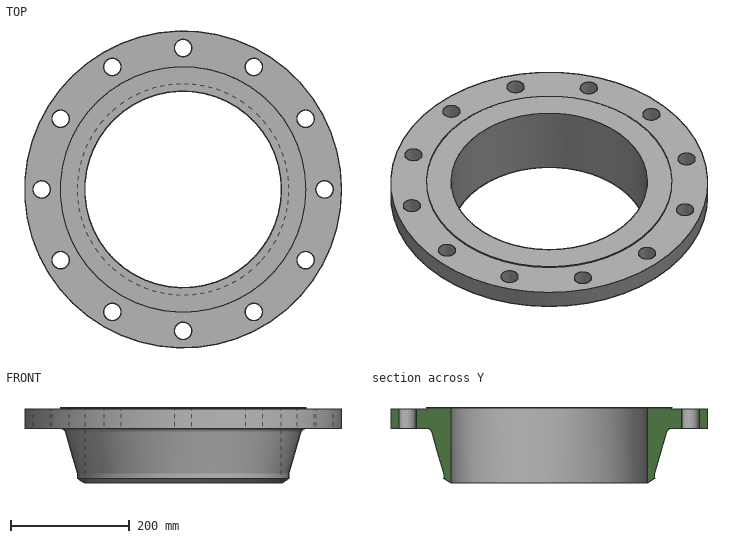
import cadquery as cq

total_height = 127.0
flange_diameter = 533.5
flange_thickness = 33.0
raised_face_diameter = 413.0
raised_face_height = 2.0
bore_diameter = 330.0
neck_top_diameter = 399.5
neck_end_diameter = 356.0
neck_straight_top = 16.0
root_fillet_radius = 8.5
weld_bevel_height = 8.0
weld_bevel_width = 12.5
bolt_count = 12
bolt_circle_diameter = 476.0
bolt_hole_diameter = 29.0

flange_top = total_height - raised_face_height
flange_bottom = flange_top - flange_thickness

bore_radius = bore_diameter / 2
flange_radius = flange_diameter / 2
raised_face_radius = raised_face_diameter / 2
neck_top_radius = neck_top_diameter / 2
neck_end_radius = neck_end_diameter / 2


def flange_body():
    """Revolve the half section of the plate, raised face and neck, then round the neck root."""
    section = (
        cq.Workplane("XZ")
        .moveTo(bore_radius, 0)
        .lineTo(neck_end_radius - weld_bevel_width, 0)
        .lineTo(neck_end_radius, weld_bevel_height)
        .lineTo(neck_end_radius, neck_straight_top)
        .lineTo(neck_top_radius, flange_bottom)
        .lineTo(flange_radius, flange_bottom)
        .lineTo(flange_radius, flange_top)
        .lineTo(raised_face_radius, flange_top)
        .lineTo(raised_face_radius, total_height)
        .lineTo(bore_radius, total_height)
        .close()
    )
    body = section.revolve(360, (0, 0, 0), (0, 1, 0))
    neck_root = cq.selectors.BoxSelector(
        (-raised_face_radius, -raised_face_radius, flange_bottom - root_fillet_radius),
        (raised_face_radius, raised_face_radius, flange_bottom + root_fillet_radius),
        boundingbox=True,
    )
    return body.edges(neck_root).fillet(root_fillet_radius)


def bolt_holes():
    """Cylinders on the bolt circle, the first one on the +X axis."""
    return (
        cq.Workplane("XY")
        .polarArray(bolt_circle_diameter / 2, 0, 360, bolt_count)
        .circle(bolt_hole_diameter / 2)
        .extrude(total_height)
    )


result = flange_body().cut(bolt_holes())